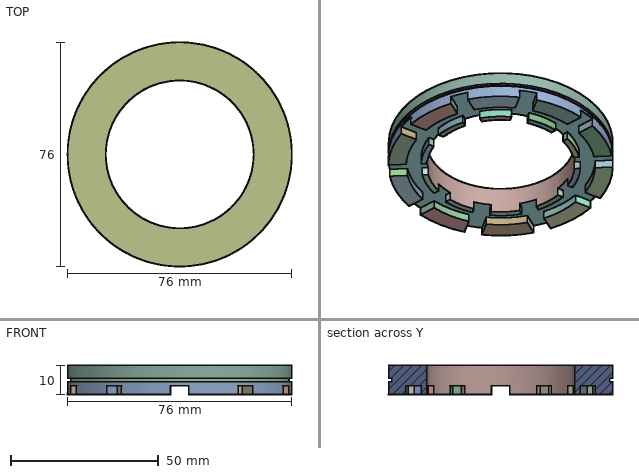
import cadquery as cq

outer_diameter = 76.0
bore_diameter = 50.0
height = 10.0

groove_diameter = 74.0
groove_width = 1.15
rim_height = 4.5

channel_outer_diameter = 64.0
channel_inner_diameter = 54.0

slot_count = 10
slot_width = 6.1
slot_depth = 3.0
slot_reach = outer_diameter
first_slot_angle = -90.0
full_turn = 360.0


def make_ring():
    """Plain ring standing on the XY plane."""
    return cq.Workplane("XY").circle(outer_diameter / 2).circle(bore_diameter / 2).extrude(height)


def make_groove():
    """Annular cutter for the groove in the outer wall."""
    groove_bottom = height - rim_height - groove_width
    return (
        cq.Workplane("XY", origin=(0, 0, groove_bottom))
        .circle(outer_diameter / 2)
        .circle(groove_diameter / 2)
        .extrude(groove_width)
    )


def make_channel():
    """Annular cutter for the channel in the bottom face."""
    return (
        cq.Workplane("XY")
        .circle(channel_outer_diameter / 2)
        .circle(channel_inner_diameter / 2)
        .extrude(slot_depth)
    )


def make_slot(angle):
    """Parallel-sided cutter running outward from the axis at the given angle."""
    return (
        cq.Workplane("XY")
        .rect(slot_reach, slot_width)
        .extrude(slot_depth)
        .translate((slot_reach / 2, 0, 0))
        .rotate((0, 0, 0), (0, 0, 1), angle)
    )


result = make_ring().cut(make_groove()).cut(make_channel())

for index in range(slot_count):
    result = result.cut(make_slot(first_slot_angle + index * full_turn / slot_count))